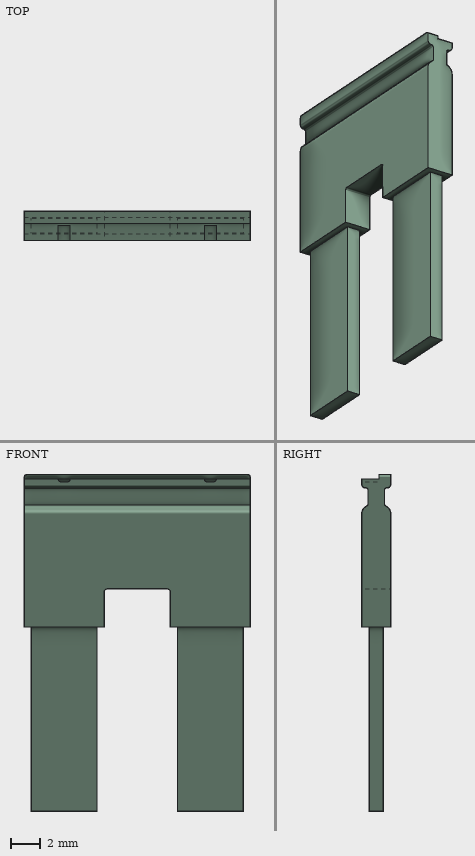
import cadquery as cq

width = 15.45
thickness = 2.0
height = 23.02

body_bottom = 12.6
neck_thickness = 1.13
neck_bottom = 20.95
shoulder_height = 20.63
shoulder_radius = 0.6
head_bottom = 22.1
neck_top_radius = 0.15
head_radius = 0.25

ledge_height = 22.72
ridge_depth = 0.83
ridge_corner_radius = 0.18

gap_width = 4.5
gap_top = 15.2
gap_corner_radius = 0.18

leg_pitch = 10.0
leg_width = 4.51
leg_thickness = 1.0
leg_embed = 1.15
notch_width = 0.83
notch_depth = 0.2
notch_length = 1.04
notch_radius = 0.195

half_thickness = thickness / 2
half_neck = neck_thickness / 2
leg_centres = (-leg_pitch / 2, leg_pitch / 2)


def box(size_x, size_y, size_z, x, y, z):
    """Box centred on x and y, with its underside at z."""
    return cq.Workplane("XY").box(size_x, size_y, size_z, (True, True, False)).translate((x, y, z))


def make_body():
    """Extrude the end profile along X, with rounded head and shoulders."""
    profile = [
        (-half_thickness, body_bottom),
        (-half_thickness, shoulder_height),
        (-half_neck, neck_bottom),
        (-half_neck, head_bottom),
        (-half_thickness, head_bottom),
        (-half_thickness, ledge_height),
        (half_thickness, ledge_height),
        (half_thickness, head_bottom),
        (half_neck, head_bottom),
        (half_neck, neck_bottom),
        (half_thickness, shoulder_height),
        (half_thickness, body_bottom),
    ]
    body = cq.Workplane("YZ").polyline(profile).close().extrude(width / 2, both=True)

    def round_edges(solid, y, z, radius):
        for side in (-1, 1):
            edge = cq.selectors.NearestToPointSelector((0, side * y, z))
            solid = solid.edges("|X").edges(edge).fillet(radius)
        return solid

    body = round_edges(body, half_thickness, shoulder_height, shoulder_radius)
    body = round_edges(body, half_neck, head_bottom, neck_top_radius)
    return round_edges(body, half_thickness, head_bottom, head_radius)


def make_ridge():
    """Raised strip along the back, reaching into the head so its ends round over."""
    ridge_bottom = head_bottom + head_radius
    ridge_y = half_thickness - ridge_depth / 2
    ridge = box(width, ridge_depth, height - ridge_bottom, 0, ridge_y, ridge_bottom)
    return ridge.edges(">Z and |Y").fillet(ridge_corner_radius)


def make_gap():
    """Opening between the legs, with rounded upper corners."""
    gap = box(gap_width, thickness, gap_top - body_bottom, 0, 0, body_bottom)
    return gap.edges(">Z and |Y").fillet(gap_corner_radius)


def make_notch(x):
    """Round-bottomed notch, open to the front and top of the ledge."""
    notch_y = (notch_length - thickness) / 2
    notch = box(notch_width, notch_length, notch_depth, x, notch_y, ledge_height - notch_depth)
    return notch.edges("<Z and |Y").fillet(notch_radius)


result = make_body().union(make_ridge()).cut(make_gap())
for leg_x in leg_centres:
    leg = box(leg_width, leg_thickness, body_bottom + leg_embed, leg_x, 0, 0)
    result = result.union(leg).cut(make_notch(leg_x))